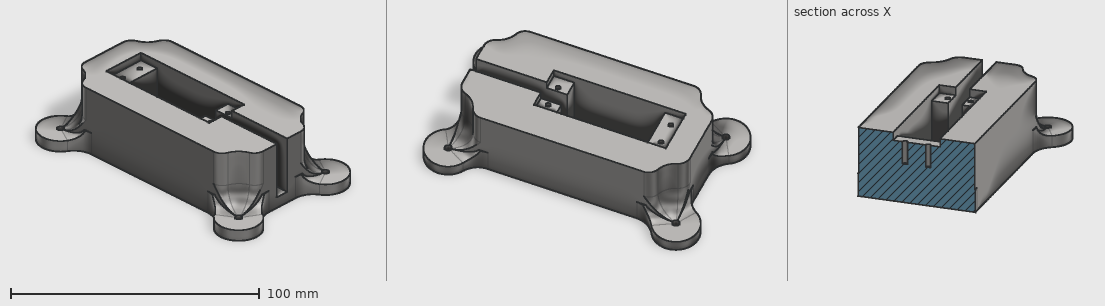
import cadquery as cq
import math

overall_length = 120.0
height = 30.0
lobe_radius = height / 3
foot_thickness = height / 6
body_length = overall_length - 2 * lobe_radius
body_width = body_length / 2

scoop_radius = lobe_radius
lip_radius = scoop_radius / 2
sweep_radius = lobe_radius
web_radius = lobe_radius
ramp_radius = 7.0
web_height = 2 * foot_thickness
mount_hole_diameter = 3.0

pocket_left = -39.0
pocket_right = 19.0
well_left = -29.9
well_right = 10.0
pocket_width = 20.0
slot_width = 6.0
ledge_height = height - 3.5
floor_height = foot_thickness
screw_diameter = 2.0
screw_depth = 9.6
screw_spacing = 10.0
screw_columns = (-34.7, 14.9)

sweep_height = foot_thickness + sweep_radius
lip_orbit = scoop_radius + lip_radius
lip_angle = math.degrees(math.asin(lip_radius / lip_orbit))
lip_distance = math.sqrt(lip_orbit**2 - lip_radius**2)
web_orbit = lobe_radius + web_radius
web_angle = math.asin(web_radius / web_orbit)
web_reach = math.sqrt(web_orbit**2 - web_radius**2)


mount_hole = cq.Workplane("XY").circle(mount_hole_diameter / 2).extrude(2 * height)


def block(x_min, x_max, width, z_min, z_max):
    """Box between two X and two Z positions, centred on Y."""
    size = (x_max - x_min, width, z_max - z_min)
    return cq.Workplane("XY").box(*size, centered=(False, True, False)).translate((x_min, 0, z_min))


def across_diagonal(shape):
    """Mirror image of a corner shape over the diagonal of its corner."""
    return shape.mirror(cq.Vector(1, -1, 0))


def at_corners(shape):
    """The corner shape placed on each of the four body corners."""
    first = shape.translate((-body_length / 2, -body_width / 2, 0))
    second = first.mirror("YZ")
    return [first, second, first.mirror("XZ"), second.mirror("XZ")]


def lip_cutters():
    """Material removed outside one rounded lip: an upright wedge and a flared ring segment."""
    wedge = (
        cq.Workplane("XY", origin=(0, 0, sweep_height))
        .polyline([(0, 0), (lip_distance, 0), (lip_distance, lip_radius)])
        .close()
        .extrude(height)
    )
    lip = cq.Workplane("XY").center(lip_distance, lip_radius).circle(lip_radius).extrude(2 * height)
    ring = (
        cq.Workplane("XZ")
        .center(lip_orbit, 0)
        .circle(sweep_radius)
        .revolve(90 - lip_angle, (-lip_orbit, 0), (-lip_orbit, 1))
        .rotate((0, 0, 0), (0, 0, 1), 180 + lip_angle)
        .translate((lip_distance, lip_radius, sweep_height))
    )
    return [wedge.cut(lip), ring]


def corner_cutters():
    """Material removed from one body corner, with the mounting hole kept apart from the sweeps.

    The sweeps only touch at a point on the hole axis, inside the hole.
    """
    column = cq.Workplane("XY", origin=(0, 0, sweep_height)).circle(scoop_radius).extrude(height)
    ball_sector = (
        cq.Workplane("XZ")
        .moveTo(0, -sweep_radius)
        .threePointArc((sweep_radius, 0), (0, sweep_radius))
        .close()
        .revolve(90 - 2 * lip_angle, (0, 0), (0, 1))
        .rotate((0, 0, 0), (0, 0, 1), lip_angle)
        .translate((0, 0, sweep_height))
    )
    lips = lip_cutters()
    cutters = [column, ball_sector] + lips + [across_diagonal(lip) for lip in lips]
    return [mount_hole] + [cutter.cut(mount_hole) for cutter in cutters]


def web():
    """Web between the lobe rim and one body side, its top curving up to the side."""
    rim = (lobe_radius * math.cos(web_angle), -lobe_radius * math.sin(web_angle))
    arc_middle_angle = math.pi / 4 + web_angle / 2
    arc_middle = (
        web_reach - web_radius * math.cos(arc_middle_angle),
        -web_radius + web_radius * math.sin(arc_middle_angle),
    )
    blank = (
        cq.Workplane("XY")
        .lineTo(*rim)
        .threePointArc(arc_middle, (web_reach, 0))
        .close()
        .extrude(web_height)
    )
    ramp = (
        cq.Workplane("YZ")
        .center(0, foot_thickness + ramp_radius)
        .circle(ramp_radius)
        .extrude(web_reach)
        .rotate((0, 0, 0), (0, 0, 1), -math.degrees(web_angle))
    )
    return blank.cut(ramp)


def pocket():
    """Stepped pocket with a deep well, and the slot from the well to the +X end."""
    recess = block(pocket_left, pocket_right, pocket_width, ledge_height, height)
    well = block(well_left, well_right, pocket_width, floor_height, height)
    slot = block(well_right, body_length / 2, slot_width, floor_height, height)
    return recess.union(well).union(slot)


def screw_holes():
    """Blind holes in the ledges at both ends of the well."""
    points = [(x, side * screw_spacing / 2) for x in screw_columns for side in (-1, 1)]
    start = cq.Workplane("XY", origin=(0, 0, ledge_height))
    return start.pushPoints(points).circle(screw_diameter / 2).extrude(-screw_depth)


result = block(-body_length / 2, body_length / 2, body_width, 0, height)
for cutter in corner_cutters():
    for placed in at_corners(cutter):
        result = result.cut(placed)

lobe = cq.Workplane("XY").circle(lobe_radius).extrude(foot_thickness)
for part in (lobe, web(), across_diagonal(web())):
    for placed in at_corners(part):
        result = result.union(placed)

for placed in at_corners(mount_hole):
    result = result.cut(placed)
result = result.cut(pocket()).cut(screw_holes())